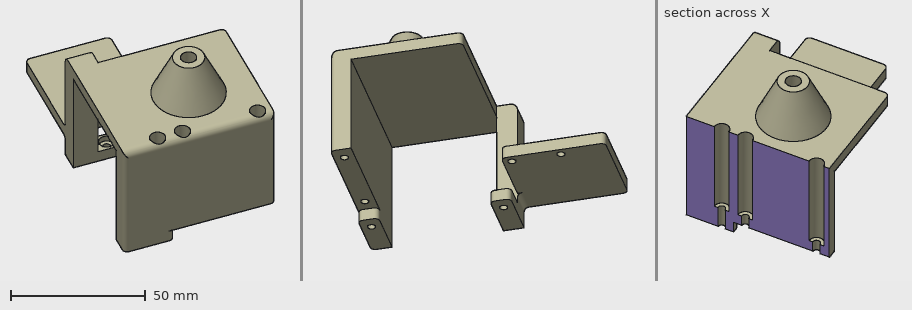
import cadquery as cq

length = 98.5
depth = 60.5
height = 67.0

leg_thickness = 8.0
deck_top = 49.4
deck_thickness = 4.8
left_leg_outer = 39.9
left_leg_inner = left_leg_outer + leg_thickness
right_leg_inner = length - leg_thickness
left_leg_depth = 9.9
foot_depth = 20.0
foot_height = 4.8
deck_edge_radius = 3.0
corner_radius = 2.0

plate_depth = 34.0
plate_bottom = 9.0
plate_top = 14.0
root_radius = 1.8
plate_hole_xs = (17.7, 36.5)
plate_hole_inset = 3.1
plate_hole_y = plate_depth - plate_hole_inset

hole_diameter = 3.0
head_diameter = 6.0
screw_y = 15.0
right_screw_ys = (screw_y, 24.9, 55.0)
left_screw_x = left_leg_outer + leg_thickness / 2
right_screw_x = length - leg_thickness / 2
foot_head_depth = foot_height / 2
right_seat_height = 2 * foot_height

cone_x = 75.6
cone_y = 35.0
cone_base_radius = 14.0
cone_top_radius = 6.0
cone_bore_diameter = 6.0
cone_height = height - deck_top


def block(x0, x1, y0, y1, z0, z1):
    """Box between two opposite corners."""
    return cq.Workplane("XY").box(x1 - x0, y1 - y0, z1 - z0, centered=False).translate((x0, y0, z0))


def vertical_hole(x, y, diameter, z0, z1):
    """Cylinder used as a vertical cutter."""
    return cq.Workplane("XY", origin=(x, y, z0)).circle(diameter / 2).extrude(z1 - z0)


def make_left_leg():
    """Narrow leg with a rounded top edge, standing on a longer foot."""
    leg = block(left_leg_outer, left_leg_inner, 0, left_leg_depth, 0, deck_top)
    leg = leg.edges("<X and >Z").fillet(deck_edge_radius)
    foot = block(left_leg_outer, left_leg_inner, 0, foot_depth, 0, foot_height)
    foot = foot.edges("|Z and >Y").fillet(corner_radius)
    return leg.union(foot)


def make_deck_and_right_leg():
    """Deck and full-depth right leg, relieved underneath behind its foot."""
    body = block(left_leg_inner, length, 0, depth, foot_height, deck_top)
    body = body.edges("(|Z and >X) or (|Z and <X and >Y)").fillet(corner_radius)
    opening = block(left_leg_inner, right_leg_inner, 0, depth, 0, deck_top - deck_thickness)
    foot = block(right_leg_inner, length, 0, foot_depth, 0, foot_height)
    foot = foot.edges("|Z and (>Y or >X)").fillet(corner_radius)
    return body.cut(opening).union(foot)


def round_right_edge(body):
    """Round the long upper edge of the right leg."""
    cutter = block(length - deck_edge_radius, length, 0, depth, deck_top - deck_edge_radius, deck_top)
    rounding = (
        cq.Workplane("XZ", origin=(length - deck_edge_radius, 0, deck_top - deck_edge_radius))
        .circle(deck_edge_radius)
        .extrude(-depth)
    )
    return body.cut(cutter.cut(rounding))


def root_fillet(z, direction):
    """Concave fillet along the leg, swept around the leg's rear corner at its end."""
    return (
        cq.Workplane("XZ", origin=(left_leg_outer, 0, z))
        .lineTo(-root_radius, 0)
        .radiusArc((0, direction * root_radius), -direction * root_radius)
        .close()
    )


def make_plate():
    """Side plate with rounded corners and two mounting holes."""
    plate = block(0, left_leg_outer, 0, plate_depth, plate_bottom, plate_top)
    plate = plate.edges("|Z and (<X or >Y)").fillet(corner_radius)
    for x in plate_hole_xs:
        plate = plate.cut(vertical_hole(x, plate_hole_y, hole_diameter, plate_bottom, plate_top))
    for z, direction in ((plate_top, 1), (plate_bottom, -1)):
        plate = plate.union(root_fillet(z, direction).extrude(-left_leg_depth))
        corner = root_fillet(z, direction).revolve(90, (0, 0), (0, -direction))
        plate = plate.union(corner.translate((0, left_leg_depth, 0)))
    return plate


def make_cone():
    """Tapered post on the deck."""
    return (
        cq.Workplane("XZ", origin=(cone_x, cone_y, deck_top))
        .polyline([(0, 0), (cone_base_radius, 0), (cone_top_radius, cone_height), (0, cone_height)])
        .close()
        .revolve(360, (0, 0), (0, 1))
    )


def cut_screw_holes(body):
    """Drill the foot screw holes and their head recesses."""
    body = body.cut(vertical_hole(left_screw_x, screw_y, hole_diameter, 0, foot_height))
    body = body.cut(
        vertical_hole(left_screw_x, screw_y, head_diameter, foot_height - foot_head_depth, foot_height)
    )
    for y in right_screw_ys:
        body = body.cut(vertical_hole(right_screw_x, y, hole_diameter, 0, deck_top))
        body = body.cut(vertical_hole(right_screw_x, y, head_diameter, right_seat_height, deck_top))
    return body


bracket = round_right_edge(make_deck_and_right_leg())
bracket = bracket.union(make_left_leg()).union(make_plate()).union(make_cone())
bracket = cut_screw_holes(bracket)
result = bracket.cut(vertical_hole(cone_x, cone_y, cone_bore_diameter, deck_top, height))